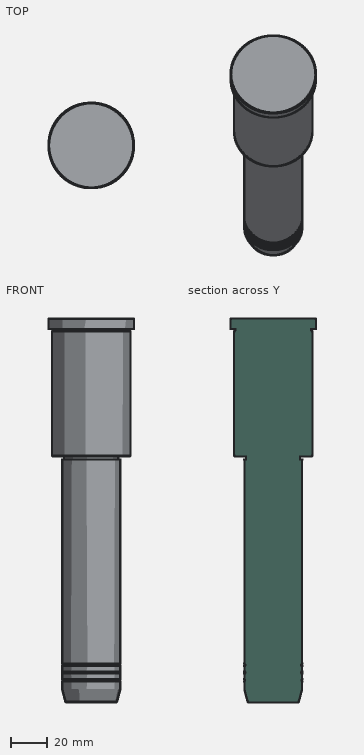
import cadquery as cq
import math

total_length = 211.0
head_radius = 47.0 / 2
head_height = 6.0
head_edge_chamfer = 0.5
body_radius = 43.3 / 2
body_bottom_z = 135.0
body_chamfer = 0.6
relief_width = 0.6
relief_depth = 0.6
shaft_radius = 32.0 / 2
neck_radius = 30.0 / 2
neck_length = 1.5

nose_length = 7.4
nose_taper_angle = 15.0
tip_chamfer = 0.6

groove_count = 3
groove_first_z = 12.2
groove_pitch = 4.2
groove_width = 1.3
groove_depth = 0.6

head_bottom_z = total_length - head_height
body_top_z = head_bottom_z - relief_width
shaft_top_z = body_bottom_z - neck_length


def cylinder(radius, bottom_z, top_z):
    return cq.Workplane("XY").workplane(offset=bottom_z).circle(radius).extrude(top_z - bottom_z)


def make_shaft():
    taper_height = nose_length - tip_chamfer
    taper_end_radius = shaft_radius - taper_height * math.tan(math.radians(nose_taper_angle))
    return (
        cq.Workplane("XZ")
        .moveTo(0, 0)
        .lineTo(taper_end_radius - tip_chamfer, 0)
        .lineTo(taper_end_radius, tip_chamfer)
        .lineTo(shaft_radius, nose_length)
        .lineTo(shaft_radius, shaft_top_z)
        .lineTo(0, shaft_top_z)
        .close()
        .revolve(360, (0, 0, 0), (0, 1, 0))
    )


def groove_ring(center_z):
    half_width = groove_width / 2
    section = cq.Workplane("XZ").polyline(
        [
            (shaft_radius, center_z - half_width),
            (shaft_radius - groove_depth, center_z),
            (shaft_radius, center_z + half_width),
            (head_radius, center_z + half_width),
            (head_radius, center_z - half_width),
        ]
    )
    return section.close().revolve(360, (0, 0, 0), (0, 1, 0))


head = cylinder(head_radius, head_bottom_z, total_length).faces(">Z").chamfer(head_edge_chamfer)
body = cylinder(body_radius, body_bottom_z, body_top_z).faces("<Z or >Z").chamfer(body_chamfer)
relief = cylinder(body_radius - relief_depth, body_top_z, head_bottom_z)
neck = cylinder(neck_radius, shaft_top_z, body_bottom_z)

result = make_shaft().union(neck).union(body).union(relief).union(head)
for index in range(groove_count):
    result = result.cut(groove_ring(groove_first_z + index * groove_pitch))